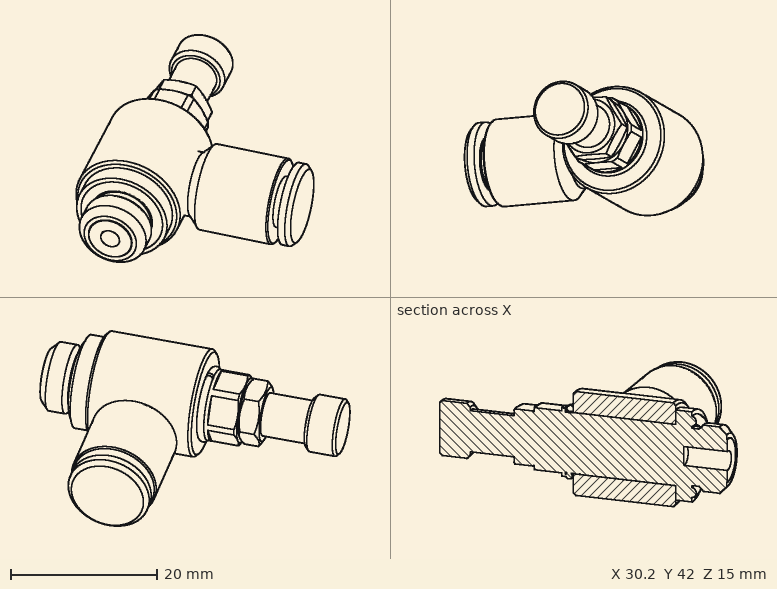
import cadquery as cq
import math


valve_top = 27.0
valve_bottom = -15.0

housing_diameter = 15.0
housing_length = 15.0
housing_chamfer = 0.38
housing_top = housing_length / 2
housing_bottom = -housing_length / 2
shank_diameter = 8.75

neck_diameter = 9.0
neck_end = 7.7
neck_root_fillet = 0.15
barrel_diameter = 12.0
barrel_start = neck_end + (barrel_diameter - neck_diameter) / 2
barrel_end = 19.65
barrel_chamfer = 0.2
sleeve_diameter = 7.1
sleeve_flare = 0.15
release_ring_diameter = 11.5
release_ring_start = 21.05
port_reach = 30.2
release_ring_end = port_reach - housing_diameter / 2
release_ring_chamfer = 0.65

collar_diameter = 13.0
collar_bottom = -9.85
seal_centre_radius = 5.12
seal_section_radius = 0.75
seal_centre_y = -9.75
undercut_diameter = 8.3
undercut_end = -10.88
thread_diameter = 9.6
thread_lead_in = (thread_diameter - undercut_diameter) / 2
thread_end_chamfer = 1.05
boss_base_diameter = 6.25
boss_tip_diameter = 6.15
boss_height = (boss_base_diameter - boss_tip_diameter) / 2
thread_bottom = valve_bottom + boss_height
orifice_diameter = 2.7
orifice_depth = 6.3

snap_centre_radius = 4.75
snap_section_radius = 0.5
snap_centre_y = 8.1
snap_gap = 0.5
flange_diameter = 9.85
flange_bottom = 8.65
flange_top = 9.2

wrench_flats = 9.0
wrench_top = 13.2
wrench_tip_diameter = wrench_flats

nut_flats = 8.0
nut_height = 3.0
nut_top = wrench_top + nut_height
nut_tip_diameter = 7.5

hexagon_chamfer_slope = math.tan(math.radians(30))

stem_diameter = 6.0
knob_diameter = 8.0
knob_bottom = 22.5
knob_top_chamfer = 0.38
knob_bottom_chamfer = 0.5


def turned(stations):
    """Solid of revolution about Y through (radius, y) stations from bottom to top."""
    bottom_y = stations[0][1]
    top_y = stations[-1][1]
    outline = [(0, bottom_y), *stations, (0, top_y)]
    return cq.Workplane("XY").polyline(outline).close().revolve(360, (0, 0, 0), (0, 1, 0))


def disc(diameter, bottom, top):
    """Plain cylinder on the Y axis."""
    return turned([(diameter / 2, bottom), (diameter / 2, top)])


def hexagon(flats, bottom, top):
    """Hexagonal prism on the Y axis with one pair of flats square to Z."""
    corner_diameter = flats / math.cos(math.radians(30))
    base = cq.Workplane("XZ", origin=(0, bottom, 0))
    return base.polygon(6, corner_diameter).extrude(bottom - top)


def make_sleeve():
    radius = housing_diameter / 2
    return turned([
        (radius - housing_chamfer, housing_bottom),
        (radius, housing_bottom + housing_chamfer),
        (radius, housing_top - housing_chamfer),
        (radius - housing_chamfer, housing_top),
    ])


def make_port():
    """Port branch turned about Y, then laid along +X."""
    neck_radius = neck_diameter / 2
    barrel_radius = barrel_diameter / 2
    sleeve_radius = sleeve_diameter / 2
    ring_radius = release_ring_diameter / 2
    port = turned([
        (neck_radius, 0),
        (neck_radius, neck_end),
        (barrel_radius, barrel_start),
        (barrel_radius, barrel_end - barrel_chamfer),
        (barrel_radius - barrel_chamfer, barrel_end),
        (sleeve_radius, barrel_end),
        (sleeve_radius, release_ring_start - sleeve_flare),
        (sleeve_radius + sleeve_flare, release_ring_start),
        (ring_radius, release_ring_start),
        (ring_radius, release_ring_end - release_ring_chamfer),
        (ring_radius - release_ring_chamfer, release_ring_end),
    ])
    return port.rotate((0, 0, 0), (0, 0, 1), -90)


def make_housing():
    outside = make_sleeve().union(make_port())
    filleted = outside.edges("%BSPLINE").fillet(neck_root_fillet)
    bore = disc(shank_diameter, housing_bottom, housing_top)
    return filleted.cut(bore)


def make_threaded_end():
    thread_radius = thread_diameter / 2
    undercut_radius = undercut_diameter / 2
    return turned([
        (boss_tip_diameter / 2, valve_bottom),
        (boss_base_diameter / 2, thread_bottom),
        (thread_radius - thread_end_chamfer, thread_bottom),
        (thread_radius, thread_bottom + thread_end_chamfer),
        (thread_radius, undercut_end - thread_lead_in),
        (undercut_radius, undercut_end),
        (undercut_radius, collar_bottom),
    ])


def make_seal_ring():
    """Part of an O-ring that stands out of the collar face."""
    half_width = math.sqrt(seal_section_radius**2 - (collar_bottom - seal_centre_y) ** 2)
    return (
        cq.Workplane("XY")
        .moveTo(seal_centre_radius + half_width, collar_bottom)
        .threePointArc(
            (seal_centre_radius, seal_centre_y - seal_section_radius),
            (seal_centre_radius - half_width, collar_bottom),
        )
        .close()
        .revolve(360, (0, 0, 0), (0, 1, 0))
    )


def make_snap_ring():
    """Round-wire ring seated on the shank, split on its +Z side."""
    shank_radius = shank_diameter / 2
    half_height = math.sqrt(snap_section_radius**2 - (snap_centre_radius - shank_radius) ** 2)
    ring = (
        cq.Workplane("XY")
        .moveTo(shank_radius, snap_centre_y - half_height)
        .threePointArc(
            (snap_centre_radius + snap_section_radius, snap_centre_y),
            (shank_radius, snap_centre_y + half_height),
        )
        .close()
        .revolve(360, (0, 0, 0), (0, 1, 0))
    )
    split = (
        cq.Workplane("XY", origin=(0, snap_centre_y, 0))
        .rect(snap_gap, 2 * (flange_bottom - snap_centre_y))
        .extrude(housing_diameter)
    )
    return ring.cut(split)


def make_wrench_hexagon():
    flange_radius = flange_diameter / 2
    tip_radius = wrench_tip_diameter / 2
    chamfer_drop = (flange_radius - tip_radius) * hexagon_chamfer_slope
    envelope = turned([
        (flange_radius, flange_top),
        (flange_radius, wrench_top - chamfer_drop),
        (tip_radius, wrench_top),
    ])
    return hexagon(wrench_flats, flange_top, wrench_top).intersect(envelope)


def make_lock_nut():
    corner_radius = nut_flats / math.sqrt(3)
    tip_radius = nut_tip_diameter / 2
    chamfer_drop = (corner_radius - tip_radius) * hexagon_chamfer_slope
    envelope = turned([
        (tip_radius, wrench_top),
        (corner_radius, wrench_top + chamfer_drop),
        (corner_radius, nut_top - chamfer_drop),
        (tip_radius, nut_top),
    ])
    return hexagon(nut_flats, wrench_top, nut_top).intersect(envelope)


def make_stem_and_knob():
    stem_radius = stem_diameter / 2
    knob_radius = knob_diameter / 2
    return turned([
        (stem_radius, nut_top),
        (stem_radius, knob_bottom),
        (knob_radius - knob_bottom_chamfer, knob_bottom),
        (knob_radius, knob_bottom + knob_bottom_chamfer),
        (knob_radius, valve_top - knob_top_chamfer),
        (knob_radius - knob_top_chamfer, valve_top),
    ])


def make_valve_screw():
    collar = disc(collar_diameter, collar_bottom, housing_bottom)
    shank = disc(shank_diameter, housing_bottom, flange_bottom)
    flange = disc(flange_diameter, flange_bottom, flange_top)
    orifice = disc(orifice_diameter, valve_bottom, valve_bottom + orifice_depth)
    return (
        make_threaded_end()
        .union(collar)
        .union(make_seal_ring())
        .union(shank)
        .union(make_snap_ring())
        .union(flange)
        .union(make_wrench_hexagon())
        .union(make_lock_nut())
        .union(make_stem_and_knob())
        .cut(orifice)
    )


housing = make_housing()
valve_screw = make_valve_screw()

result = cq.Compound.makeCompound([housing.val(), valve_screw.val()])